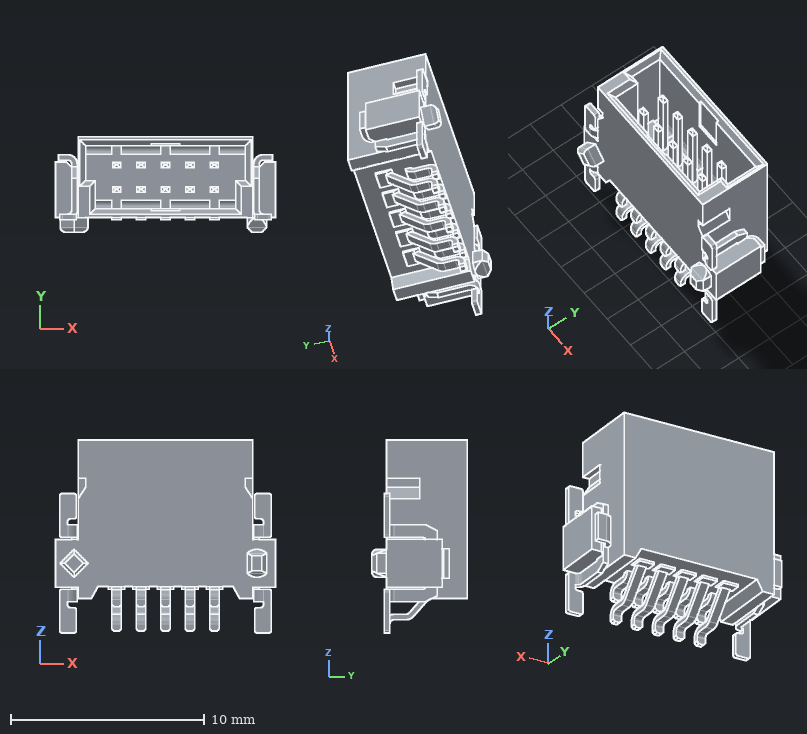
import cadquery as cq
import math


HALF_LENGTH = 4.53
DEPTH = 4.18
HEIGHT = 8.21
LEG_HEIGHT = 0.62
LEG_GAP_TOP = 3.49
LEG_GAP_BOTTOM = 3.83

WING_HALF_LENGTH = 5.7
WING_DEPTH = 2.88
WING_HALF_HEIGHT = 1.24
WING_CHAMFER = 0.27
WING_Z = 1.82

CAVITY_HALF_LENGTH = 4.14
CAVITY_HALF_NARROW = 3.63
CAVITY_FRONT = 0.47
CAVITY_STEP = 1.92
CAVITY_BACK = 3.72
CAVITY_FLOOR = 2.51
RIM_CHAMFER = 0.3
FLOOR_GROOVE_RADIUS = 0.22
FLOOR_RIB_WIDTH = 0.5
KEY_WIDTH = 1.49
KEY_DEPTH = 0.1
KEY_LEDGE = 5.77

NOTCH_DEPTH = 0.4
NOTCH_LENGTH = 1.73
NOTCH_TOP = 6.22
NOTCH_KNEE = 5.76
NOTCH_BOTTOM = 5.15

PEG_DIAMETER = 1.45
PEG_X = 4.73
PEG_LENGTH = 0.76
PEG_STRAIGHT = 0.5
PEG_TIP_RADIUS = 0.28
FLAT_PEG_WIDTH = 1.03
FLAT_PEG_HEIGHT = 1.01
FLAT_PEG_TIP_WIDTH = 0.51
FLAT_PEG_TIP_HEIGHT = 0.8

PITCH = 1.27
COLUMNS = 5
FRONT_ROW_Y = 1.46
BACK_ROW_Y = FRONT_ROW_Y + PITCH
PIN_WIDTH = 0.42
PIN_THICKNESS = 0.28
PIN_TOP = 7.22
PIN_POINT = 0.22
PIN_TIP_SCALE = 0.2
TAIL_WIDTH = 0.5
TAIL_END_CHAMFER = 0.11
TAIL_PAD_LENGTH = 0.38
FRONT_TAIL_Z = 0.31
BACK_TAIL_Z = -0.96
BACK_KNEE_Z = 0.78
BACK_SLANT_END_Y = 1.17
BOSS_WIDTH = 0.87
BOSS_HEIGHT = 0.14
BOSS_SLOPE_LENGTH = 0.27

SHEET = 0.3
BOARD_Y = -0.11
BEND_OUTER = 0.5
BEND_INNER = BEND_OUTER - SHEET
BEND_MID = BEND_OUTER - SHEET / 2
FRONT_BEND_Y = BOARD_Y + BEND_OUTER

WEB_X = 4.56
BEND_X = WEB_X + BEND_OUTER
SLOT_OUTER_X = WEB_X + SHEET
WEB_FRONT = 2.01
ARM_INNER = 1.33
ARM_OUTER = 2.0
ARM_BACK = 2.62
ARM_CHAMFER_LENGTH = 0.59
ARM_CHAMFER_HEIGHT = 0.31
RELIEF_RADIUS = 0.09
TAB_HALF_HEIGHT = 0.76
TAB_END_X = 5.54
TAB_BEND_Y = 2.76
FOOT_INNER_X = 4.6
FOOT_OUTER_X = 5.48
FOOT_HEAD = 2.29
FOOT_END = 3.61
FOOT_RADIUS = 0.14

COLUMN_XS = [(i - (COLUMNS - 1) / 2) * PITCH for i in range(COLUMNS)]
RIB_XS = COLUMN_XS[::2]


def block(x0, x1, y0, y1, z0, z1):
    return cq.Workplane("XY").box(x1 - x0, y1 - y0, z1 - z0, centered=False).translate((x0, y0, z0))


def mirrored_pair(shape):
    return shape.union(shape.mirror("YZ"))



def shell_block():
    shell = block(-HALF_LENGTH, HALF_LENGTH, 0, DEPTH, 0, HEIGHT)
    gap = [
        (-LEG_GAP_BOTTOM, 0),
        (LEG_GAP_BOTTOM, 0),
        (LEG_GAP_TOP, LEG_HEIGHT),
        (-LEG_GAP_TOP, LEG_HEIGHT),
    ]
    return shell.cut(cq.Workplane("XZ").polyline(gap).close().extrude(-DEPTH))


def wings():
    """Wings with a slot, open to the back, between wing and shell for the hold-down web."""
    outline = [
        (HALF_LENGTH, 0),
        (WING_HALF_LENGTH, 0),
        (WING_HALF_LENGTH, WING_DEPTH),
        (SLOT_OUTER_X + WING_CHAMFER, WING_DEPTH),
        (SLOT_OUTER_X, WING_DEPTH - WING_CHAMFER),
        (SLOT_OUTER_X, WEB_FRONT),
        (HALF_LENGTH, WEB_FRONT),
    ]
    wing = cq.Workplane("XY").polyline(outline).close().extrude(WING_HALF_HEIGHT, both=True)
    return mirrored_pair(wing.translate((0, 0, WING_Z)))


def cavity_outline(margin=0):
    """Cavity outline, narrower between the front corner blocks and grown by margin on every side."""
    wide = CAVITY_HALF_LENGTH + margin
    narrow = CAVITY_HALF_NARROW + margin
    front = CAVITY_FRONT - margin
    step = CAVITY_STEP - margin
    back = CAVITY_BACK + margin
    return [
        (-narrow, front),
        (narrow, front),
        (narrow, step),
        (wide, step),
        (wide, back),
        (-wide, back),
        (-wide, step),
        (-narrow, step),
    ]


def cavity():
    """Cavity with a 45 degree chamfer around its rim."""
    well = cq.Workplane("XY", origin=(0, 0, CAVITY_FLOOR)).polyline(cavity_outline()).close()
    rim = (
        cq.Workplane("XY", origin=(0, 0, HEIGHT - RIM_CHAMFER))
        .polyline(cavity_outline())
        .close()
        .workplane(offset=RIM_CHAMFER)
        .polyline(cavity_outline(RIM_CHAMFER))
        .close()
        .loft(ruled=True)
    )
    return well.extrude(HEIGHT - CAVITY_FLOOR).union(rim)


def key_recesses():
    return block(
        -KEY_WIDTH / 2, KEY_WIDTH / 2,
        CAVITY_FRONT - KEY_DEPTH, CAVITY_BACK + KEY_DEPTH,
        KEY_LEDGE, HEIGHT,
    )


def floor_groove(middle_y, half_length):
    """Round-bottomed groove along one long edge of the floor, interrupted by ribs."""
    groove = (
        cq.Workplane("YZ", origin=(0, middle_y, CAVITY_FLOOR))
        .moveTo(-FLOOR_GROOVE_RADIUS, 0)
        .threePointArc((0, -FLOOR_GROOVE_RADIUS), (FLOOR_GROOVE_RADIUS, 0))
        .close()
        .extrude(half_length, both=True)
    )
    for x in RIB_XS:
        groove = groove.cut(block(x - FLOOR_RIB_WIDTH / 2, x + FLOOR_RIB_WIDTH / 2, 0, DEPTH, 0, HEIGHT))
    return groove


def side_notches():
    outline = [
        (HALF_LENGTH, NOTCH_TOP),
        (HALF_LENGTH - NOTCH_DEPTH, NOTCH_TOP),
        (HALF_LENGTH - NOTCH_DEPTH, NOTCH_KNEE),
        (HALF_LENGTH, NOTCH_BOTTOM),
    ]
    return mirrored_pair(cq.Workplane("XZ").polyline(outline).close().extrude(-NOTCH_LENGTH))


def pin_boss(x):
    """Small boss with a sloped front, under the housing around a back-row contact."""
    front = BACK_ROW_Y - BOSS_WIDTH / 2
    back = BACK_ROW_Y + BOSS_WIDTH / 2
    bottom = LEG_HEIGHT - BOSS_HEIGHT
    outline = [
        (front, LEG_HEIGHT),
        (front + BOSS_SLOPE_LENGTH, bottom),
        (back, bottom),
        (back, LEG_HEIGHT),
    ]
    boss = cq.Workplane("YZ").polyline(outline).close().extrude(BOSS_WIDTH / 2, both=True)
    return boss.translate((x, 0, 0))


def diamond_peg():
    """Square peg standing on its corner, with a rounded tip cut flat at the end."""
    side = PEG_DIAMETER / math.sqrt(2)
    peg = (
        cq.Workplane("XZ")
        .rect(side, side)
        .extrude(PEG_STRAIGHT + PEG_TIP_RADIUS)
        .faces("<Y")
        .edges()
        .fillet(PEG_TIP_RADIUS)
        .rotate((0, 0, 0), (0, 1, 0), 45)
    )
    envelope = block(-PEG_DIAMETER, PEG_DIAMETER, -PEG_LENGTH, 0, -PEG_DIAMETER, PEG_DIAMETER)
    return peg.intersect(envelope).translate((-PEG_X, 0, WING_Z))


def flat_peg():
    """Round peg with two side flats, tapered above and below, and a four-sided tip."""
    base = cq.Workplane("XZ").rect(FLAT_PEG_WIDTH, PEG_DIAMETER)
    shank = base.workplane(offset=PEG_STRAIGHT).rect(FLAT_PEG_WIDTH, FLAT_PEG_HEIGHT).loft(ruled=True)
    tip = (
        cq.Workplane("XZ", origin=(0, -PEG_STRAIGHT, 0))
        .rect(FLAT_PEG_WIDTH, FLAT_PEG_HEIGHT)
        .workplane(offset=PEG_LENGTH - PEG_STRAIGHT)
        .rect(FLAT_PEG_TIP_WIDTH, FLAT_PEG_TIP_HEIGHT)
        .loft(ruled=True)
    )
    rod = cq.Workplane("XZ").circle(PEG_DIAMETER / 2).extrude(PEG_LENGTH)
    return shank.union(tip).intersect(rod).translate((PEG_X, 0, WING_Z))


def make_housing():
    body = shell_block().union(wings()).cut(cavity()).cut(key_recesses())
    body = body.cut(floor_groove(CAVITY_BACK - FLOOR_GROOVE_RADIUS, CAVITY_HALF_LENGTH))
    body = body.cut(floor_groove(CAVITY_FRONT + FLOOR_GROOVE_RADIUS, CAVITY_HALF_NARROW))
    body = body.cut(side_notches())
    for x in COLUMN_XS:
        body = body.union(pin_boss(x))
    return body.union(diamond_peg()).union(flat_peg())



def pin(x, y):
    """Straight pin rising from the floor to a pyramid point."""
    shoulder = PIN_TOP - PIN_POINT
    shaft = cq.Workplane("XY", origin=(x, y, LEG_HEIGHT)).rect(PIN_WIDTH, PIN_THICKNESS)
    point = (
        cq.Workplane("XY", origin=(x, y, shoulder))
        .rect(PIN_WIDTH, PIN_THICKNESS)
        .workplane(offset=PIN_POINT)
        .rect(PIN_WIDTH * PIN_TIP_SCALE, PIN_THICKNESS * PIN_TIP_SCALE)
        .loft(ruled=True)
    )
    return shaft.extrude(shoulder - LEG_HEIGHT).union(point)


def tail(x, run):
    """Strip along the (y, z) corner points of run and on down the board plane, with rounded bends."""
    start_y, start_z = run[0]
    run_z = run[-1][1]
    pad_y = BOARD_Y + SHEET / 2
    pad_end = (pad_y, run_z - BEND_MID - TAIL_PAD_LENGTH)
    corners = [cq.Vector(x, y, z) for y, z in run + [(pad_y, run_z), pad_end]]
    path = cq.Wire.makePolygon(corners).fillet(BEND_MID)
    strip = cq.Workplane("XY", origin=(x, start_y, start_z)).rect(TAIL_WIDTH, SHEET).sweep(path)
    return strip.faces("<Z").edges("|Y").chamfer(TAIL_END_CHAMFER)


def front_contact(x):
    run = [(FRONT_ROW_Y, WING_Z), (FRONT_ROW_Y, FRONT_TAIL_Z)]
    return pin(x, FRONT_ROW_Y).union(tail(x, run))


def back_contact(x):
    run = [(BACK_ROW_Y, WING_Z), (BACK_ROW_Y, BACK_KNEE_Z), (BACK_SLANT_END_Y, BACK_TAIL_Z)]
    return pin(x, BACK_ROW_Y).union(tail(x, run))



def bent_strip():
    """Sheet bent outward at the front, towards the feet, and at the back, around the wing."""
    outer = BEND_OUTER * math.sqrt(0.5)
    inner = BEND_INNER * math.sqrt(0.5)
    return (
        cq.Workplane("XY")
        .moveTo(BEND_X, BOARD_Y)
        .threePointArc((BEND_X - outer, FRONT_BEND_Y - outer), (WEB_X, FRONT_BEND_Y))
        .lineTo(WEB_X, TAB_BEND_Y)
        .threePointArc((BEND_X - outer, TAB_BEND_Y + outer), (BEND_X, TAB_BEND_Y + BEND_OUTER))
        .lineTo(TAB_END_X, TAB_BEND_Y + BEND_OUTER)
        .lineTo(TAB_END_X, TAB_BEND_Y + BEND_INNER)
        .lineTo(BEND_X, TAB_BEND_Y + BEND_INNER)
        .threePointArc((BEND_X - inner, TAB_BEND_Y + inner), (SLOT_OUTER_X, TAB_BEND_Y))
        .lineTo(SLOT_OUTER_X, FRONT_BEND_Y)
        .threePointArc((BEND_X - inner, FRONT_BEND_Y - inner), (BEND_X, BOARD_Y + SHEET))
        .close()
        .extrude(ARM_OUTER, both=True)
    )


def side_profile():
    """U-shaped side outline of the strip: two arms to the front and a narrow tab to the back."""
    chamfer_z = ARM_OUTER - ARM_CHAMFER_HEIGHT
    outline = [
        (BOARD_Y, ARM_OUTER),
        (ARM_BACK - ARM_CHAMFER_LENGTH, ARM_OUTER),
        (ARM_BACK, chamfer_z),
        (ARM_BACK, -chamfer_z),
        (ARM_BACK - ARM_CHAMFER_LENGTH, -ARM_OUTER),
        (BOARD_Y, -ARM_OUTER),
    ]
    arms = cq.Workplane("YZ").polyline(outline).close().extrude(WING_HALF_LENGTH)
    opening = block(0, WING_HALF_LENGTH, BOARD_Y, WEB_FRONT, -ARM_INNER, ARM_INNER)
    opening = opening.edges("|X and >Y").fillet(RELIEF_RADIUS)
    tab_back = TAB_BEND_Y + BEND_OUTER
    tab = block(0, WING_HALF_LENGTH, WEB_FRONT, tab_back, -TAB_HALF_HEIGHT, TAB_HALF_HEIGHT)
    return arms.cut(opening).union(tab)


def foot():
    """Flat solder foot lying on the board plane above the upper arm."""
    outline = [
        (BEND_X, ARM_INNER),
        (FOOT_OUTER_X, ARM_INNER),
        (FOOT_OUTER_X, FOOT_END),
        (FOOT_INNER_X, FOOT_END),
        (FOOT_INNER_X, FOOT_HEAD),
        (BEND_X, FOOT_HEAD),
    ]
    plate = cq.Workplane("XZ", origin=(0, BOARD_Y, 0)).polyline(outline).close().extrude(-SHEET)
    inner_corner = cq.selectors.NearestToPointSelector((BEND_X, BOARD_Y + SHEET / 2, FOOT_HEAD))
    plate = plate.edges(inner_corner).fillet(FOOT_RADIUS)
    return plate.edges("|Y and >X").fillet(FOOT_RADIUS).edges("|Y and <X").fillet(FOOT_RADIUS)


def make_hold_down():
    """Hold-down for the +X wing."""
    clip = bent_strip().intersect(side_profile())
    clip = clip.union(foot()).union(foot().mirror("XY"))
    return clip.translate((0, 0, WING_Z))



right_hold_down = make_hold_down()

header = make_housing()
for column_x in COLUMN_XS:
    header = header.union(front_contact(column_x)).union(back_contact(column_x))
header = header.union(right_hold_down.mirror("YZ"))

result = cq.Compound.makeCompound([header.solids().val(), right_hold_down.solids().val()])